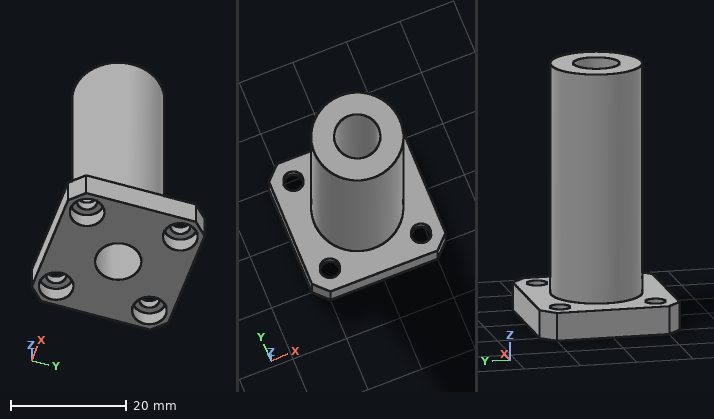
import cadquery as cq

total_height = 46.0
flange_side = 25.0
flange_thickness = 5.0
corner_chamfer = 2.5

sleeve_diameter = 16.0
bore_diameter = 8.0

mount_hole_diameter = 3.5
mount_hole_spacing = 17.0
counterbore_diameter = 6.0
counterbore_depth = 3.1

flange = (
    cq.Workplane("XY")
    .rect(flange_side, flange_side)
    .extrude(flange_thickness)
    .edges("|Z")
    .chamfer(corner_chamfer)
)

sleeve = cq.Workplane("XY").circle(sleeve_diameter / 2).extrude(total_height)

bore = cq.Workplane("XY").circle(bore_diameter / 2).extrude(total_height)


def corner_cylinders(diameter, height):
    """Four cylinders on the mounting pattern, rising from the underside."""
    return (
        cq.Workplane("XY")
        .rect(mount_hole_spacing, mount_hole_spacing, forConstruction=True)
        .vertices()
        .circle(diameter / 2)
        .extrude(height)
    )


mount_holes = corner_cylinders(mount_hole_diameter, flange_thickness)
counterbores = corner_cylinders(counterbore_diameter, counterbore_depth)

result = flange.union(sleeve).cut(bore).cut(mount_holes).cut(counterbores)